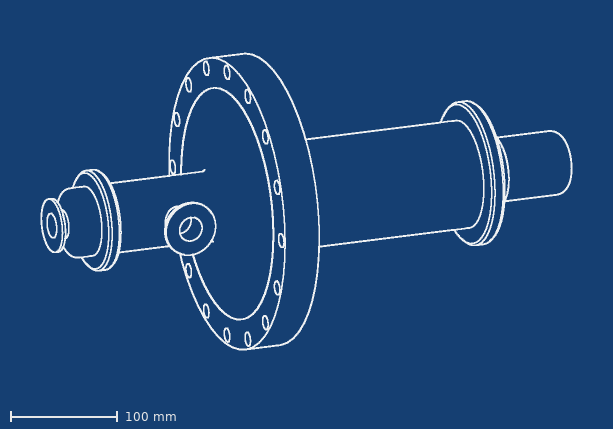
import cadquery as cq
import math

TOTAL_LENGTH = 520.0

FLANGE_RADIUS = 137.6
FLANGE_FRONT = 178.5
FLANGE_BACK = 213.0
BOLT_COUNT = 16
BOLT_CIRCLE_RADIUS = 128.5
BOLT_HOLE_DIAMETER = 13.0
RECESS_RADIUS = 109.0
RECESS_DEPTH = 0.5
CONE_BASE_RADIUS = 108.0
CONE_ANGLE = 10.0

FRONT_TUBE_RADIUS = 33.0
FRONT_FILLET = 10.5
MAIN_TUBE_RADIUS = 50.7
MAIN_TUBE_FILLET = 9.0
REAR_TUBE_RADIUS = 30.0
REAR_TUBE_ROUND = 10.5

FRONT_COLLAR_RADIUS = 47.5
FRONT_COLLAR_FRONT = 37.0
FRONT_COLLAR_BACK = 52.5
FRONT_COLLAR_SHOULDER = 39.5

REAR_COLLAR_RADIUS = 67.5
REAR_COLLAR_FRONT = 418.0
REAR_COLLAR_BACK = 435.0
REAR_COLLAR_SHOULDER = 60.0
REAR_CONE_BASE_RADIUS = 54.5
REAR_CONE_BASE = 437.5
REAR_CONE_TIP_RADIUS = 31.5
REAR_CONE_TIP = 452.0

COLLAR_TAPER_LENGTH = 1.5
COLLAR_EDGE_LENGTH = 4.0
COLLAR_BEVEL_HEIGHT = 2.0

DISH_START = 23.0
DISH_CROWN_RADIUS = 2 * FRONT_TUBE_RADIUS
DISH_KNUCKLE_RADIUS = 0.1 * DISH_CROWN_RADIUS

PORT_TUBE_RADIUS = 13.5
PORT_FLANGE_RADIUS = 25.25
PORT_BORE_RADIUS = 11.5
PORT_RIM_THICKNESS = 3.0
PORT_CONE_END = 8.0
PORT_BORE_DEPTH = 26.0
SIDE_PORT_FACE = 62.0
SIDE_PORT_STATION = 115.0


def revolve_profile(outline):
    """Close an XY outline and revolve it about the Y axis."""
    return outline.close().revolve(360, (0, 0, 0), (0, 1, 0))


def revolve_points(points):
    return revolve_profile(cq.Workplane("XY").polyline(points))


def cylinder(radius, start, end):
    return revolve_points([(0, start), (radius, start), (radius, end), (0, end)])


def collar(radius, shoulder_radius, front, back):
    taper_radius = radius - COLLAR_BEVEL_HEIGHT
    return revolve_points([
        (0, front),
        (shoulder_radius, front),
        (taper_radius, front + COLLAR_TAPER_LENGTH),
        (radius, front + COLLAR_EDGE_LENGTH),
        (radius, back - COLLAR_EDGE_LENGTH),
        (taper_radius, back - COLLAR_TAPER_LENGTH),
        (shoulder_radius, back),
        (0, back),
    ])


def port(length):
    """Flanged tube with its face at y = 0, running toward +Y."""
    return revolve_points([
        (0, 0),
        (PORT_FLANGE_RADIUS, 0),
        (PORT_FLANGE_RADIUS, PORT_RIM_THICKNESS),
        (PORT_TUBE_RADIUS, PORT_CONE_END),
        (PORT_TUBE_RADIUS, length),
        (0, length),
    ])


def port_bore():
    return cylinder(PORT_BORE_RADIUS, 0, PORT_BORE_DEPTH)


def place_on_side(port_part):
    """Turn a port so that its face looks toward +X at the side port position."""
    return port_part.rotate((0, 0, 0), (0, 0, 1), 90).translate((SIDE_PORT_FACE, SIDE_PORT_STATION, 0))


def dished_end():
    knuckle_centre = FRONT_TUBE_RADIUS - DISH_KNUCKLE_RADIUS
    centre_distance = DISH_CROWN_RADIUS - DISH_KNUCKLE_RADIUS
    junction_angle = math.asin(knuckle_centre / centre_distance)
    crown_centre = DISH_START + centre_distance * math.cos(junction_angle)
    knuckle_middle_angle = (junction_angle + math.pi / 2) / 2

    def knuckle_point(angle):
        return (
            knuckle_centre + DISH_KNUCKLE_RADIUS * math.sin(angle),
            DISH_START - DISH_KNUCKLE_RADIUS * math.cos(angle),
        )

    def crown_point(angle):
        return (DISH_CROWN_RADIUS * math.sin(angle), crown_centre - DISH_CROWN_RADIUS * math.cos(angle))

    return revolve_profile(
        cq.Workplane("XY")
        .moveTo(0, FRONT_COLLAR_FRONT)
        .lineTo(FRONT_TUBE_RADIUS, FRONT_COLLAR_FRONT)
        .lineTo(FRONT_TUBE_RADIUS, DISH_START)
        .threePointArc(knuckle_point(knuckle_middle_angle), knuckle_point(junction_angle))
        .threePointArc(crown_point(junction_angle / 2), crown_point(0))
    )


def front_tube_with_cone():
    """Front tube blended by a fillet into the shallow cone on the flange face."""
    slope = math.radians(CONE_ANGLE)
    cone_base = FLANGE_FRONT + RECESS_DEPTH
    fillet_centre_radius = FRONT_TUBE_RADIUS + FRONT_FILLET
    cone_at_centre = cone_base - (CONE_BASE_RADIUS - fillet_centre_radius) * math.tan(slope)
    fillet_centre = cone_at_centre - FRONT_FILLET / math.cos(slope)

    def fillet_point(angle):
        return (
            fillet_centre_radius - FRONT_FILLET * math.cos(angle),
            fillet_centre + FRONT_FILLET * math.sin(angle),
        )

    tangent_angle = math.pi / 2 + slope
    return revolve_profile(
        cq.Workplane("XY")
        .moveTo(0, FRONT_COLLAR_FRONT)
        .lineTo(FRONT_TUBE_RADIUS, FRONT_COLLAR_FRONT)
        .lineTo(*fillet_point(0))
        .threePointArc(fillet_point(tangent_angle / 2), fillet_point(tangent_angle))
        .lineTo(CONE_BASE_RADIUS, cone_base)
        .lineTo(0, cone_base)
    )


def main_flange():
    flange = cylinder(FLANGE_RADIUS, FLANGE_FRONT, FLANGE_BACK)
    recess = cylinder(RECESS_RADIUS, FLANGE_FRONT, FLANGE_FRONT + RECESS_DEPTH)
    bolt_holes = (
        cq.Workplane("XZ", origin=(0, FLANGE_BACK, 0))
        .polarArray(BOLT_CIRCLE_RADIUS, 0, 360, BOLT_COUNT)
        .circle(BOLT_HOLE_DIAMETER / 2)
        .extrude(FLANGE_BACK - FLANGE_FRONT)
    )
    return flange.cut(recess).cut(bolt_holes)


def main_tube():
    """Wide tube with a concave fillet where it meets the back of the flange."""
    fillet_centre = (MAIN_TUBE_RADIUS + MAIN_TUBE_FILLET, FLANGE_BACK + MAIN_TUBE_FILLET)
    diagonal = MAIN_TUBE_FILLET * math.sqrt(0.5)
    return revolve_profile(
        cq.Workplane("XY")
        .moveTo(0, FLANGE_BACK)
        .lineTo(fillet_centre[0], FLANGE_BACK)
        .threePointArc(
            (fillet_centre[0] - diagonal, fillet_centre[1] - diagonal),
            (MAIN_TUBE_RADIUS, fillet_centre[1]),
        )
        .lineTo(MAIN_TUBE_RADIUS, REAR_COLLAR_FRONT)
        .lineTo(0, REAR_COLLAR_FRONT)
    )


def rear_end():
    cone = revolve_points([
        (0, REAR_COLLAR_BACK),
        (REAR_COLLAR_SHOULDER, REAR_COLLAR_BACK),
        (REAR_CONE_BASE_RADIUS, REAR_CONE_BASE),
        (REAR_CONE_TIP_RADIUS, REAR_CONE_TIP),
        (0, REAR_CONE_TIP),
    ])
    tube = cylinder(REAR_TUBE_RADIUS, REAR_CONE_TIP, TOTAL_LENGTH).faces(">Y").edges().fillet(REAR_TUBE_ROUND)
    return cone.union(tube)


front_collar = collar(FRONT_COLLAR_RADIUS, FRONT_COLLAR_SHOULDER, FRONT_COLLAR_FRONT, FRONT_COLLAR_BACK)
rear_collar = collar(REAR_COLLAR_RADIUS, REAR_COLLAR_SHOULDER, REAR_COLLAR_FRONT, REAR_COLLAR_BACK)

result = (
    main_flange()
    .union(front_tube_with_cone())
    .union(front_collar)
    .union(dished_end())
    .union(main_tube())
    .union(rear_collar)
    .union(rear_end())
    .union(port(DISH_START))
    .union(place_on_side(port(SIDE_PORT_FACE)))
    .cut(port_bore())
    .cut(place_on_side(port_bore()))
)